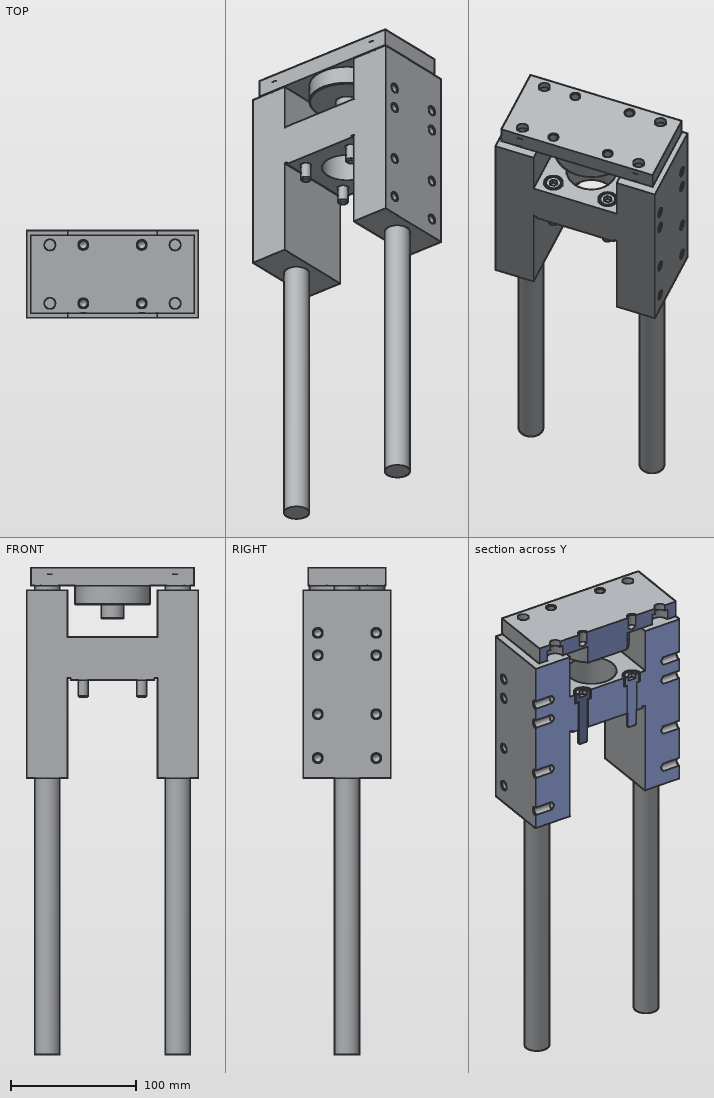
import cadquery as cq
import math

TOTAL_HEIGHT = 388.0

HOUSING_LENGTH = 137.0
HOUSING_WIDTH = 70.0
HOUSING_HEIGHT = 149.8
HOUSING_GAP = 3.5
LEG_SPACING = 71.5
UPPER_POCKET_DEPTH = 37.2
CROSSBAR_THICKNESS = 33.0
BOSS_LENGTH = 66.7
BOSS_HEIGHT = 1.5
CENTRE_BORE_DIAMETER = 40.0

PLATE_LENGTH = 130.0
PLATE_WIDTH = 62.0
PLATE_THICKNESS = 14.5
ROD_DIAMETER = 20.0
ROD_SPACING = 104.0
DISC_DIAMETER = 60.0
DISC_HEIGHT = 15.0
DISC_CHAMFER = 0.8
STUB_DIAMETER = 18.2
STUB_LENGTH = 11.3
STUB_CHAMFER = 0.8

SQUARE_PITCH = 46.5
PLATE_HOLE_SPACING = 99.7
PLATE_HOLE_DIAMETER = 9.0
PLATE_COUNTERBORE_DIAMETER = 14.5
PLATE_COUNTERBORE_DEPTH = 9.0
THREAD_DIAMETER = 8.0
THREAD_CORE_DIAMETER = 6.5
PLATE_THREAD_DEPTH = 10.0
SIDE_THREAD_DEPTH = 15.5
DRILL_TIP_ANGLE = 118.0
SIDE_HOLE_DROPS = [34.0, 52.0, 99.0, 134.0]

SCREW_DIAMETER = 8.0
SCREW_LENGTH = 40.0
SCREW_CHAMFER = 1.0
HEAD_DIAMETER = 13.0
HEAD_HEIGHT = 8.0
HEAD_CHAMFER = 0.8
HEXAGON_SIDES = 6
SOCKET_WIDTH = 6.0
SOCKET_DEPTH = 4.0
SCREW_HOLE_DIAMETER = 9.0
HEAD_RECESS_DIAMETER = 15.0

plate_bottom = TOTAL_HEIGHT - PLATE_THICKNESS
housing_top = plate_bottom - HOUSING_GAP
housing_bottom = housing_top - HOUSING_HEIGHT
crossbar_top = housing_top - UPPER_POCKET_DEPTH
crossbar_bottom = crossbar_top - CROSSBAR_THICKNESS
boss_bottom = crossbar_bottom - BOSS_HEIGHT
screw_seat = crossbar_top - HEAD_HEIGHT


def corner_points(x_spacing, y_spacing):
    """Four points at the corners of a rectangle centred on the Z axis."""
    return [(sx * x_spacing / 2, sy * y_spacing / 2) for sx in (-1, 1) for sy in (-1, 1)]


screw_points = corner_points(SQUARE_PITCH, SQUARE_PITCH)
plate_hole_points = corner_points(PLATE_HOLE_SPACING, SQUARE_PITCH)
rod_points = [(-ROD_SPACING / 2, 0), (ROD_SPACING / 2, 0)]


def block(length, width, bottom, top):
    """Box centred on the Z axis between two levels."""
    return cq.Workplane("XY", origin=(0, 0, bottom)).rect(length, width).extrude(top - bottom)


def cylinders(points, diameter, bottom, top):
    """Upright cylinders of one diameter between two levels."""
    plane = cq.Workplane("XY", origin=(0, 0, bottom))
    return plane.pushPoints(points).circle(diameter / 2).extrude(top - bottom)


def threaded_hole(mouth, direction, depth):
    """Cutter for a blind core hole with a drill tip and a chamfered mouth."""
    mouth_radius = THREAD_DIAMETER / 2
    core_radius = THREAD_CORE_DIAMETER / 2
    chamfer = mouth_radius - core_radius
    tip = core_radius / math.tan(math.radians(DRILL_TIP_ANGLE / 2))
    outline = (
        cq.Workplane("XZ")
        .polyline([(0, 0), (mouth_radius, 0), (core_radius, chamfer), (core_radius, depth), (0, depth + tip)])
        .close()
    )
    cutter = outline.revolve(360, (0, 0, 0), (0, 1, 0)).val()
    return cutter.moved(cq.Location(cq.Plane(origin=mouth, normal=direction)))


def make_housing():
    """H-shaped block, bored for the rods, the coupling and the screws, tapped on both sides."""
    housing = block(HOUSING_LENGTH, HOUSING_WIDTH, housing_bottom, housing_top)
    housing = housing.cut(block(LEG_SPACING, HOUSING_WIDTH, crossbar_top, housing_top))
    housing = housing.cut(block(LEG_SPACING, HOUSING_WIDTH, housing_bottom, crossbar_bottom))
    housing = housing.union(block(BOSS_LENGTH, HOUSING_WIDTH, boss_bottom, crossbar_bottom))
    housing = housing.cut(cylinders(rod_points, ROD_DIAMETER, housing_bottom, housing_top))
    housing = housing.cut(cylinders([(0, 0)], CENTRE_BORE_DIAMETER, boss_bottom, crossbar_top))
    housing = housing.cut(cylinders(screw_points, SCREW_HOLE_DIAMETER, boss_bottom, crossbar_top))
    housing = housing.cut(cylinders(screw_points, HEAD_RECESS_DIAMETER, screw_seat, crossbar_top))
    for side in (-1, 1):
        for drop in SIDE_HOLE_DROPS:
            for y in (-SQUARE_PITCH / 2, SQUARE_PITCH / 2):
                mouth = (side * HOUSING_LENGTH / 2, y, housing_top - drop)
                housing = housing.cut(threaded_hole(mouth, (-side, 0, 0), SIDE_THREAD_DEPTH))
    return housing


def make_slide():
    """End plate in one piece with the two guide rods and the stepped coupling."""
    disc_bottom = plate_bottom - DISC_HEIGHT
    disc = cylinders([(0, 0)], DISC_DIAMETER, disc_bottom, plate_bottom).faces("<Z").chamfer(DISC_CHAMFER)
    stub = cylinders([(0, 0)], STUB_DIAMETER, disc_bottom - STUB_LENGTH, disc_bottom)
    stub = stub.faces("<Z").chamfer(STUB_CHAMFER)
    slide = block(PLATE_LENGTH, PLATE_WIDTH, plate_bottom, TOTAL_HEIGHT)
    slide = slide.cut(cylinders(plate_hole_points, PLATE_HOLE_DIAMETER, plate_bottom, TOTAL_HEIGHT))
    counterbore_top = plate_bottom + PLATE_COUNTERBORE_DEPTH
    slide = slide.cut(cylinders(plate_hole_points, PLATE_COUNTERBORE_DIAMETER, plate_bottom, counterbore_top))
    for x, y in screw_points:
        slide = slide.cut(threaded_hole((x, y, TOTAL_HEIGHT), (0, 0, -1), PLATE_THREAD_DEPTH))
    return slide.union(cylinders(rod_points, ROD_DIAMETER, 0, plate_bottom)).union(disc).union(stub)


def make_screw(x, y):
    """Cap screw with a hexagon socket, its head seated in the crossbar counterbore."""
    shank = cylinders([(x, y)], SCREW_DIAMETER, screw_seat - SCREW_LENGTH, screw_seat)
    shank = shank.faces("<Z").chamfer(SCREW_CHAMFER)
    head = cylinders([(x, y)], HEAD_DIAMETER, screw_seat, crossbar_top).faces(">Z").chamfer(HEAD_CHAMFER)
    socket_plane = cq.Workplane("XY", origin=(x, y, crossbar_top - SOCKET_DEPTH))
    corner_diameter = SOCKET_WIDTH / math.cos(math.pi / HEXAGON_SIDES)
    socket = socket_plane.polygon(HEXAGON_SIDES, corner_diameter).extrude(SOCKET_DEPTH)
    return head.union(shank).cut(socket)


housing = make_housing()
slide = make_slide()
screws = [make_screw(x, y).val() for x, y in screw_points]

result = cq.Compound.makeCompound([housing.val(), slide.val(), *screws])